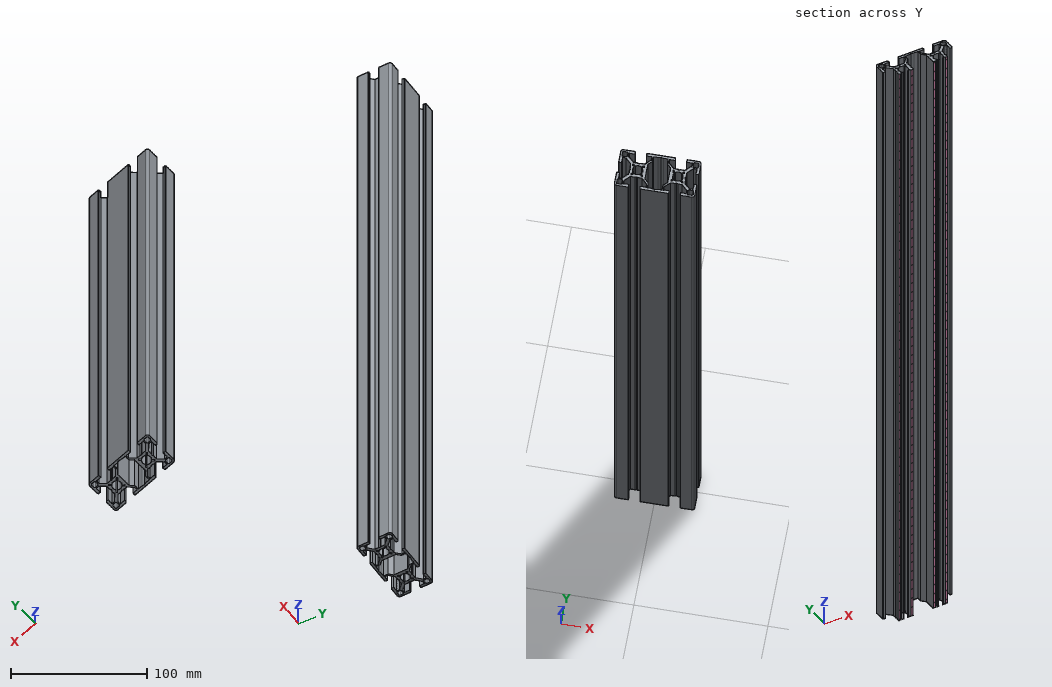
import cadquery as cq

cell = 30.0
width = 2 * cell
length = 500.0
corner_radius = 2.0

slot_opening_half = 4.2
slot_inner_half = 8.5
mouth_chamfer = 0.5
lip_thickness = 2.25
shoulder_depth = 4.75
floor_depth = 9.0
floor_half = slot_inner_half - (floor_depth - shoulder_depth)
groove_half = 1.0
groove_depth = 0.5

bore_diameter = 7.5
relief_span = 12.0
relief_width = 1.0
relief_angles = (45, 135)

hollow_wall = 1.5
hollow_size = 4.0
hollow_fillet = 1.0

flange_thickness = 2.0
neck_half = 5.5
neck_depth = 6.0
belly_half = 8.5
belly_depth = neck_depth + belly_half - neck_half
notch_half = 2.0
notch_depth = 0.5


def prism(points):
    """Full-length prism over a closed XY outline."""
    return cq.Workplane("XY").polyline(points).close().extrude(length)


def t_slot():
    """T-slot cutter centred on X = 0, opening on the face Y = 0 and cutting toward +Y."""
    right_side = [
        (slot_opening_half + mouth_chamfer, 0),
        (slot_opening_half, mouth_chamfer),
        (slot_opening_half, lip_thickness),
        (slot_inner_half, lip_thickness),
        (slot_inner_half, shoulder_depth),
        (floor_half, floor_depth),
        (groove_half, floor_depth),
    ]
    groove_bottom = (0, floor_depth + groove_depth)
    left_side = [(-x, y) for x, y in reversed(right_side)]
    return prism(right_side + [groove_bottom] + left_side)


def middle_hollow():
    """Hollow between the two cores, with a shallow V notch in each flange."""
    flange_y = cell / 2 - flange_thickness
    top_right = [
        (belly_half, cell / 2 - belly_depth),
        (neck_half, cell / 2 - neck_depth),
        (neck_half, flange_y),
        (notch_half, flange_y),
    ]
    notch_tip = (0, flange_y + notch_depth)
    top_left = [(-x, y) for x, y in reversed(top_right)]
    top = top_right + [notch_tip] + top_left
    bottom = [(-x, -y) for x, y in top]
    return prism(top + bottom)


def core_bores():
    """Bores on the two cell centres, each with its diagonal reliefs."""
    centres = cq.Workplane("XY").rarray(cell, 5, 2, 1)
    bores = centres.circle(bore_diameter / 2).extrude(length)
    for angle in relief_angles:
        bores = bores.union(centres.slot2D(relief_span, relief_width, angle).extrude(length))
    return bores


def corner_hollows():
    """Rounded square hollows just inside the four outer corners."""
    inset = 2 * hollow_wall + hollow_size
    return (
        cq.Workplane("XY")
        .rarray(width - inset, cell - inset, 2, 2)
        .rect(hollow_size, hollow_size)
        .extrude(length)
        .edges("|Z")
        .fillet(hollow_fillet)
    )


result = cq.Workplane("XY").rect(width, cell).extrude(length).edges("|Z").fillet(corner_radius)

for core_x in (-cell / 2, cell / 2):
    wide_face_slot = t_slot().translate((core_x, -cell / 2, 0))
    result = result.cut(wide_face_slot).cut(wide_face_slot.mirror("XZ"))

narrow_face_slot = t_slot().rotate((0, 0, 0), (0, 0, 1), -90).translate((-width / 2, 0, 0))
result = result.cut(narrow_face_slot).cut(narrow_face_slot.mirror("YZ"))

result = result.cut(middle_hollow()).cut(core_bores()).cut(corner_hollows())